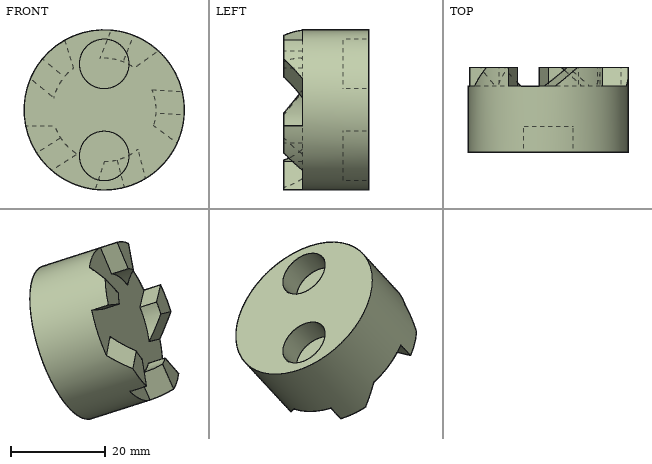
import cadquery as cq
import math

outer_radius = 17.0
total_length = 18.0
tooth_height = 3.98
floor_y = total_length - tooth_height

hole_diameter = 10.5
hole_offset = 9.75
hole_depth = 5.5

tooth_count = 5
tooth_inner_radius = 10.98
first_crest_angle = 68.5
crest_span = 21.0
steep_face_tilt = 12.0
ramp_run = 4.83


def make_body():
    return cq.Workplane("XZ").circle(outer_radius).extrude(-total_length)


def make_holes():
    return (
        cq.Workplane("XZ")
        .pushPoints([(0, hole_offset), (0, -hole_offset)])
        .circle(hole_diameter / 2)
        .extrude(-hole_depth)
    )


def make_end_layer():
    return cq.Workplane("XZ", origin=(0, floor_y, 0)).circle(outer_radius).extrude(-tooth_height)


def make_tooth_ring():
    return (
        cq.Workplane("XZ", origin=(0, floor_y, 0))
        .circle(outer_radius)
        .circle(tooth_inner_radius)
        .extrude(-tooth_height)
    )


def make_ramp_prism():
    """Prism along +X whose sloping side falls from the crest edge at Z = 0 to the floor."""
    return (
        cq.Workplane("YZ")
        .moveTo(floor_y, ramp_run)
        .lineTo(total_length, 0)
        .lineTo(total_length, -outer_radius)
        .lineTo(floor_y, -outer_radius)
        .close()
        .extrude(outer_radius)
    )


def make_steep_face_block():
    """Block bounded below by the steep face, which passes through the tooth's outer corner."""
    corner_angle = math.radians(-crest_span)
    corner_x = outer_radius * math.cos(corner_angle)
    corner_z = outer_radius * math.sin(corner_angle)
    face_angle = -(crest_span + steep_face_tilt)
    return (
        cq.Workplane("XZ", origin=(corner_x, floor_y, corner_z))
        .transformed(rotate=(0, 0, face_angle))
        .center(0, outer_radius)
        .rect(2 * outer_radius, 2 * outer_radius)
        .extrude(-tooth_height)
    )


tooth = make_tooth_ring().intersect(make_ramp_prism()).intersect(make_steep_face_block())

tooth_gaps = make_end_layer()
for index in range(tooth_count):
    crest_angle = first_crest_angle + index * 360 / tooth_count
    tooth_gaps = tooth_gaps.cut(tooth.rotate((0, 0, 0), (0, 1, 0), -crest_angle))

result = make_body().cut(make_holes()).cut(tooth_gaps)